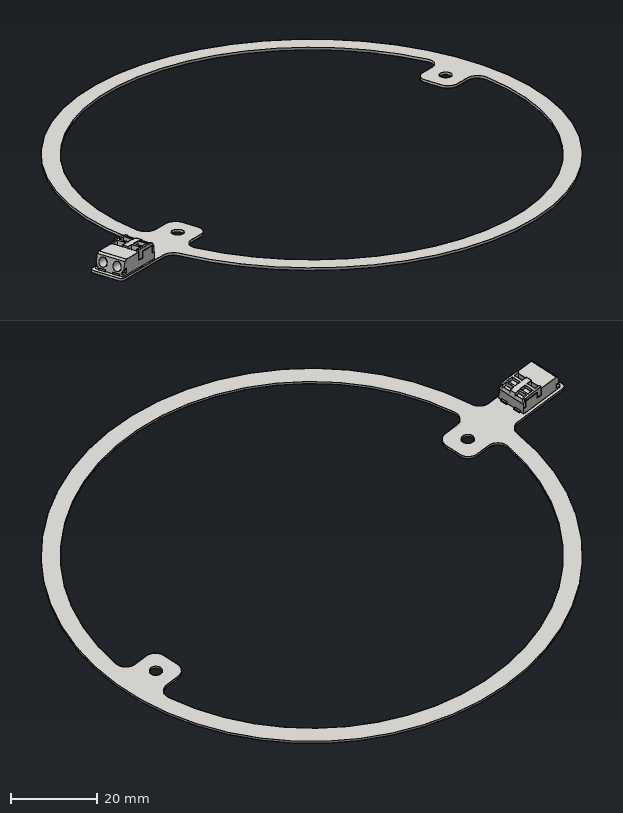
import cadquery as cq
import math

total_length = 144.6
total_height = 5.2
ring_diameter = 125.7
ring_width = 4.5
plate_thickness = 0.7

tab_width = 10.1
tab_tip_radius = 48.2
tab_corner_radius = 2.9
tab_hole_diameter = 3.0
tab_hole_radius = 53.2
tab_root_fillet = 2.9
tail_width = 9.3
tail_corner_radius = 1.0
tail_root_fillet = 2.9

ring_outer_radius = ring_diameter / 2
ring_inner_radius = ring_outer_radius - ring_width
ring_mid_radius = ring_outer_radius - ring_width / 2
tail_tip_y = ring_outer_radius - total_length

front_margin = 1.2
block_offset = 0.1
block_width = 8.0
block_length = 12.5
block_height = total_height - plate_thickness
pole_pitch = 4.0
pole_offsets = (-pole_pitch / 2, pole_pitch / 2)

front_foot_height = 0.7
nose_height = 3.6
nose_setback = 0.7
front_top_height = 4.0
front_top_setback = 1.3
step_setback = 6.4
back_slope_length = 1.5
back_slope_drop = 0.3
back_corner_run = 0.6
back_corner_drop = 1.2

wire_hole_diameter = 2.3
wire_hole_height = 2.0
wire_hole_depth = 2.9

pocket_width = 2.5
pocket_wall = 0.5
rear_pocket_length = 1.3
pocket_bar = 0.5
lever_length = 1.7
pocket_rear_depth = 1.6
pocket_front_depth = 1.2
lever_rear_depth = 1.2
lever_front_depth = 0.9
slot_length = 1.5
slot_floor_height = 1.9
slot_rear = step_setback + slot_length

side_step_depth = 0.1
side_step_height = 3.6
side_notch_length = 0.7
side_notch_floor = 1.7

grip_length = 1.3
grip_bottom = 0.6
grip_height = 1.2
grip_depth = 0.6

foot_width = 1.9
foot_height = 0.5
foot_front_overhang = 0.1
foot_rear_overhang = 0.5


def plate_arm(width, near_y, far_y):
    """Straight arm of the plate, centred on X, between two Y positions."""
    arm = cq.Workplane("XY").rect(width, abs(far_y - near_y)).extrude(plate_thickness)
    return arm.translate((0, (near_y + far_y) / 2, 0))


def root_edges(half_width, radius, side):
    """Box selector around the corners where an arm leaves a circle of the ring."""
    y = side * math.sqrt(radius**2 - half_width**2)
    reach = 0.1
    return cq.selectors.BoxSelector(
        (-half_width - reach, y - reach, -reach),
        (half_width + reach, y + reach, plate_thickness + reach),
    )


def make_ring_plate():
    plate = cq.Workplane("XY").circle(ring_outer_radius).circle(ring_inner_radius).extrude(plate_thickness)

    for side in (1, -1):
        tab = plate_arm(tab_width, side * ring_mid_radius, side * tab_tip_radius)
        tip = "<Y" if side > 0 else ">Y"
        plate = plate.union(tab.faces(tip).edges("|Z").fillet(tab_corner_radius))

    tail = plate_arm(tail_width, -ring_mid_radius, tail_tip_y)
    plate = plate.union(tail.faces("<Y").edges("|Z").fillet(tail_corner_radius))

    for side in (1, -1):
        tab_root = root_edges(tab_width / 2, ring_inner_radius, side)
        plate = plate.edges("|Z").edges(tab_root).fillet(tab_root_fillet)
    tail_root = root_edges(tail_width / 2, ring_outer_radius, -1)
    plate = plate.edges("|Z").edges(tail_root).fillet(tail_root_fillet)

    hole_places = [(0, tab_hole_radius), (0, -tab_hole_radius)]
    holes = cq.Workplane("XY").pushPoints(hole_places).circle(tab_hole_diameter / 2).extrude(plate_thickness)
    return plate.cut(holes)


def side_prism(points, width, x=0.0):
    """Closed Y-Z outline extruded along X, centred on the given X."""
    prism = cq.Workplane("YZ").polyline(points).close().extrude(width / 2, both=True)
    return prism.translate((x, 0, 0))


def side_box(y_start, y_end, z_start, z_end, width, x=0.0):
    """Box given by its Y and Z ranges, centred on the given X."""
    points = [(y_start, z_start), (y_end, z_start), (y_end, z_end), (y_start, z_end)]
    return side_prism(points, width, x)


def housing_blank():
    return side_prism(
        [
            (0, 0),
            (block_length, 0),
            (block_length, block_height - back_slope_drop - back_corner_drop),
            (block_length - back_corner_run, block_height - back_slope_drop),
            (block_length - back_corner_run - back_slope_length, block_height),
            (step_setback, block_height),
            (step_setback, front_top_height),
            (front_top_setback, front_top_height),
            (nose_setback, nose_height),
            (0, front_foot_height),
        ],
        block_width,
    )


def wire_hole(x):
    hole = cq.Workplane("XZ").circle(wire_hole_diameter / 2).extrude(-wire_hole_depth)
    return hole.translate((x, 0, wire_hole_height))


def pole_pockets(x):
    """Rear pocket, sloping lever recess and release slot of one pole."""
    rear_end = block_length - pocket_wall
    rear_start = rear_end - rear_pocket_length
    lever_end = rear_start - pocket_bar
    lever_start = lever_end - lever_length
    rear_pocket = side_prism(
        [
            (rear_end, block_height),
            (rear_end, block_height - pocket_rear_depth),
            (rear_start, block_height - pocket_front_depth),
            (rear_start, block_height),
        ],
        pocket_width,
        x,
    )
    lever_recess = side_prism(
        [
            (lever_end, block_height),
            (lever_end, block_height - lever_rear_depth),
            (lever_start, block_height - lever_front_depth),
            (lever_start, block_height),
        ],
        pocket_width,
        x,
    )
    slot = side_box(step_setback, slot_rear, slot_floor_height, block_height, pocket_width, x)
    return rear_pocket.union(lever_recess).union(slot)


def side_recess(side):
    """Shallow stepped-in strip on one flank: top ledge, slot and rear notch."""
    x = side * (block_width - side_step_depth) / 2
    ledge = side_box(step_setback, block_length, side_step_height, block_height, side_step_depth, x)
    slot = side_box(step_setback, slot_rear, slot_floor_height, block_height, side_step_depth, x)
    notch_start = block_length - side_notch_length
    notch = side_box(notch_start, block_length, side_notch_floor, block_height, side_step_depth, x)
    return ledge.union(slot).union(notch)


def side_grip(side):
    """Wedge undercut that leans inward toward its floor, open to the front face."""
    flank = side * block_width / 2
    points = [
        (flank, grip_bottom + grip_height),
        (flank - side * grip_depth, grip_bottom),
        (flank, grip_bottom),
    ]
    return cq.Workplane("XZ").polyline(points).close().extrude(-grip_length)


def solder_foot(x):
    return side_box(-foot_front_overhang, block_length + foot_rear_overhang, 0, foot_height, foot_width, x)


def make_terminal_block():
    block = housing_blank()
    for x in pole_offsets:
        block = block.cut(wire_hole(x)).cut(pole_pockets(x)).union(solder_foot(x))
    for side in (1, -1):
        block = block.cut(side_recess(side)).cut(side_grip(side))
    return block.translate((block_offset, tail_tip_y + front_margin, plate_thickness))


ring_plate = make_ring_plate()
terminal_block = make_terminal_block()

result = cq.Compound.makeCompound([ring_plate.val(), terminal_block.val()])